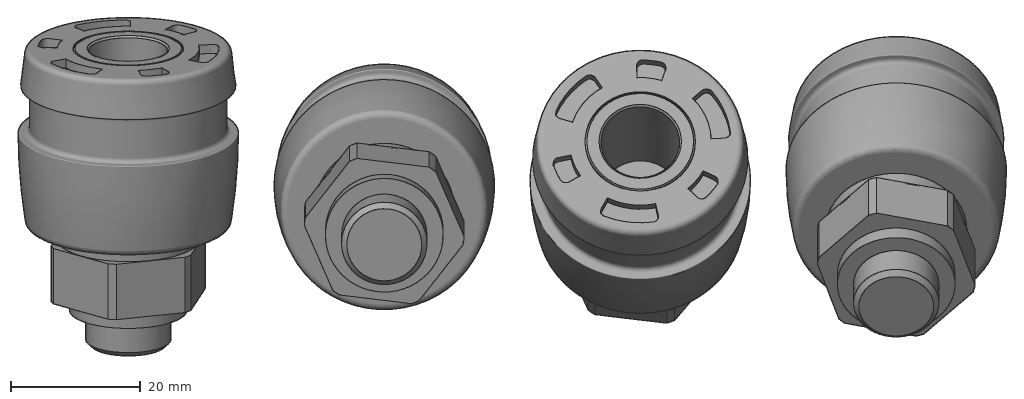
import cadquery as cq
import math

total_height = 48.0
stem_top = 5.55
collar_top = 8.0
hex_top = 17.0
sleeve_bottom = 19.5
sleeve_top = 34.4
cap_bottom = 41.85

stem_diameter = 13.15
stem_chamfer = 0.8
collar_diameter = 18.15
hex_across_flats = 22.0
hex_corner_diameter = 24.65
neck_diameter = 21.75

sleeve_top_diameter = 34.0
sleeve_middle_diameter = 33.45
sleeve_bottom_diameter = 31.6
sleeve_bottom_fillet = 1.0
groove_diameter = 30.5
groove_fillet = 0.7
cap_bottom_diameter = 33.2
cap_top_diameter = 31.75
cap_fillet = 0.9
rim_fillet = 0.15

bore_diameter = 12.1
bore_depth = 19.2
bore_chamfer = 0.3
tube_diameter = 17.0
tube_chamfer = 0.3

pocket_inner_radius = 10.95
pocket_outer_radius = 13.95
pocket_depth = 1.45
pocket_corner_fillet = 1.0
long_pocket_angle = 40.0
short_pocket_angle = 20.0
pockets_per_kind = 3
first_long_pocket = 30.0
first_short_pocket = 90.0


def disc(diameter, bottom, top):
    return cq.Workplane("XY").workplane(offset=bottom).circle(diameter / 2).extrude(top - bottom)


def threaded_end():
    stem = disc(stem_diameter, 0, stem_top).faces("<Z").chamfer(stem_chamfer)
    collar = disc(collar_diameter, stem_top, collar_top)
    neck = disc(neck_diameter, hex_top, sleeve_bottom)
    return stem.union(collar).union(hex_nut()).union(neck)


def hex_nut():
    """Hexagon with flats facing +Y and -Y, its corners turned down to a cylinder."""
    across_corners = hex_across_flats / math.cos(math.pi / 6)
    hexagon = (
        cq.Workplane("XY")
        .workplane(offset=collar_top)
        .polygon(6, across_corners)
        .extrude(hex_top - collar_top)
    )
    return hexagon.intersect(disc(hex_corner_diameter, collar_top, hex_top))


def grip_body():
    """Barrel-curved sleeve, finger groove and tapered cap as one turned solid."""
    groove_radius = groove_diameter / 2
    sleeve_middle = (sleeve_bottom + sleeve_bottom_fillet + sleeve_top) / 2
    body = (
        cq.Workplane("XZ")
        .moveTo(0, sleeve_bottom)
        .lineTo(sleeve_bottom_diameter / 2, sleeve_bottom)
        .threePointArc(
            (sleeve_middle_diameter / 2, sleeve_middle),
            (sleeve_top_diameter / 2, sleeve_top),
        )
        .lineTo(groove_radius + groove_fillet, sleeve_top)
        .radiusArc((groove_radius, sleeve_top + groove_fillet), groove_fillet)
        .lineTo(groove_radius, cap_bottom - groove_fillet)
        .radiusArc((groove_radius + groove_fillet, cap_bottom), groove_fillet)
        .lineTo(cap_bottom_diameter / 2, cap_bottom)
        .lineTo(cap_top_diameter / 2, total_height)
        .lineTo(0, total_height)
        .close()
        .revolve(360, (0, 0, 0), (0, 1, 0))
    )
    body = body.faces("<Z").edges().fillet(sleeve_bottom_fillet)
    body = body.faces(">Z").edges().fillet(cap_fillet)
    for diameter, level in ((sleeve_top_diameter, sleeve_top), (cap_bottom_diameter, cap_bottom)):
        reach = diameter / 2
        rim = cq.selectors.BoxSelector(
            (-reach, -reach, level - rim_fillet),
            (reach, reach, level + rim_fillet),
        )
        body = body.edges(rim).edges(cq.selectors.RadiusNthSelector(-1)).fillet(rim_fillet)
    return body


def socket_cut():
    """Blind bore with a chamfered mouth."""
    bore = disc(bore_diameter, total_height - bore_depth, total_height)
    mouth = (
        cq.Workplane("XY")
        .workplane(offset=total_height)
        .circle(bore_diameter / 2 + bore_chamfer)
        .workplane(offset=-bore_chamfer)
        .circle(bore_diameter / 2)
        .loft()
    )
    return bore.union(mouth)


def tube_groove():
    """V-shaped ring left by the chamfer on the outer edge of the socket tube."""
    outer = tube_diameter / 2
    return (
        cq.Workplane("XZ")
        .moveTo(outer - tube_chamfer, total_height)
        .lineTo(outer, total_height)
        .lineTo(outer, total_height - tube_chamfer)
        .close()
        .revolve(360, (0, 0, 0), (0, 1, 0))
    )


def point_at(radius, angle):
    return (radius * math.cos(math.radians(angle)), radius * math.sin(math.radians(angle)))


def pocket(middle_angle, span):
    """Ring-sector pocket with its two outer corners rounded."""
    start = middle_angle - span / 2
    end = middle_angle + span / 2
    sector = (
        cq.Workplane("XY")
        .workplane(offset=total_height - pocket_depth)
        .moveTo(*point_at(pocket_inner_radius, start))
        .lineTo(*point_at(pocket_outer_radius, start))
        .threePointArc(point_at(pocket_outer_radius, middle_angle), point_at(pocket_outer_radius, end))
        .lineTo(*point_at(pocket_inner_radius, end))
        .threePointArc(point_at(pocket_inner_radius, middle_angle), point_at(pocket_inner_radius, start))
        .close()
        .extrude(pocket_depth)
    )
    for angle in (start, end):
        x, y = point_at(pocket_outer_radius, angle)
        corner = cq.NearestToPointSelector((x, y, total_height - pocket_depth / 2))
        sector = sector.edges("|Z").edges(corner).fillet(pocket_corner_fillet)
    return sector


result = threaded_end().union(grip_body()).cut(socket_cut()).cut(tube_groove())
for index in range(pockets_per_kind):
    turn = index * 360 / pockets_per_kind
    result = result.cut(pocket(first_long_pocket + turn, long_pocket_angle))
    result = result.cut(pocket(first_short_pocket + turn, short_pocket_angle))